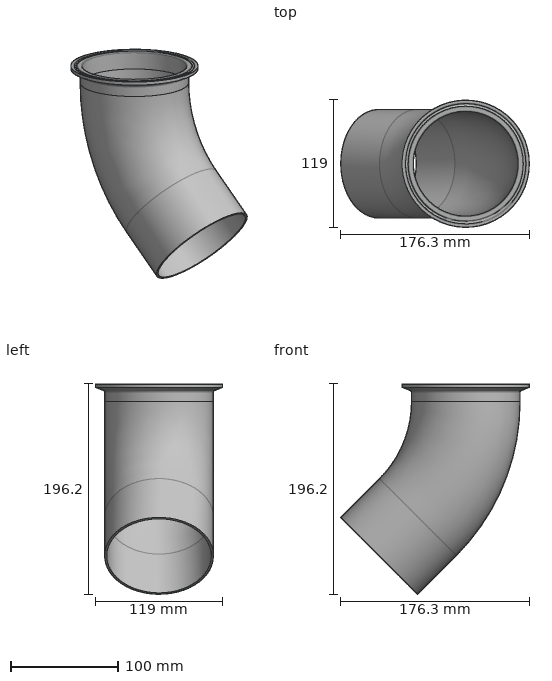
import cadquery as cq

tube_radius = 50.8
wall = 2.0
bore_radius = tube_radius - wall
bend_radius = 152.4
bend_angle = 45
tail_length = 51.2

ferrule_height = 16.3
flange_radius = 59.5
rim_thickness = 3.0
cone_bottom = 6.5

groove_mid_radius = 55
groove_width = 2.5
groove_depth = 1.2

lip_fillet = 0.5
neck_fillet = 1.0
match_tolerance = 0.02


def fillet_circle(body, radius, height, fillet_radius):
    """Round the circular edge about Z that has the given radius and height."""

    def is_wanted(edge):
        right_radius = abs(edge.radius() - radius) < match_tolerance
        right_height = abs(edge.Center().z - height) < match_tolerance
        return right_radius and right_height

    return body.edges("%CIRCLE").filter(is_wanted).fillet(fillet_radius)


def make_ferrule():
    """Flanged collar with a conical back and a gasket groove, turned about Z."""
    groove_inner_radius = groove_mid_radius - groove_width / 2
    groove_outer_radius = groove_mid_radius + groove_width / 2
    profile = (
        cq.Workplane("XZ")
        .moveTo(bore_radius, 0)
        .lineTo(groove_inner_radius, 0)
        .threePointArc((groove_mid_radius, -groove_depth), (groove_outer_radius, 0))
        .lineTo(flange_radius, 0)
        .lineTo(flange_radius, -rim_thickness)
        .lineTo(tube_radius, -cone_bottom)
        .lineTo(tube_radius, -ferrule_height)
        .lineTo(bore_radius, -ferrule_height)
        .close()
    )
    body = profile.revolve(360, (0, 0, 0), (0, 1, 0))

    for radius in (bore_radius, groove_inner_radius, groove_outer_radius):
        body = fillet_circle(body, radius, 0, lip_fillet)

    return fillet_circle(body, tube_radius, -cone_bottom, neck_fillet)


def make_elbow():
    """Bent tube that turns toward -X below the ferrule and ends in a straight tail."""
    bend = (
        cq.Workplane("XY", origin=(0, 0, -ferrule_height))
        .circle(tube_radius)
        .circle(bore_radius)
        .revolve(bend_angle, (-bend_radius, 0, 0), (-bend_radius, 1, 0))
    )
    tail = (
        bend.faces("<Z")
        .workplane(centerOption="CenterOfMass")
        .circle(tube_radius)
        .circle(bore_radius)
        .extrude(tail_length, combine=False)
    )
    return bend.union(tail, clean=False)


ferrule = make_ferrule()
elbow = make_elbow()

result = cq.Compound.makeCompound([ferrule.val(), *elbow.solids().vals()])